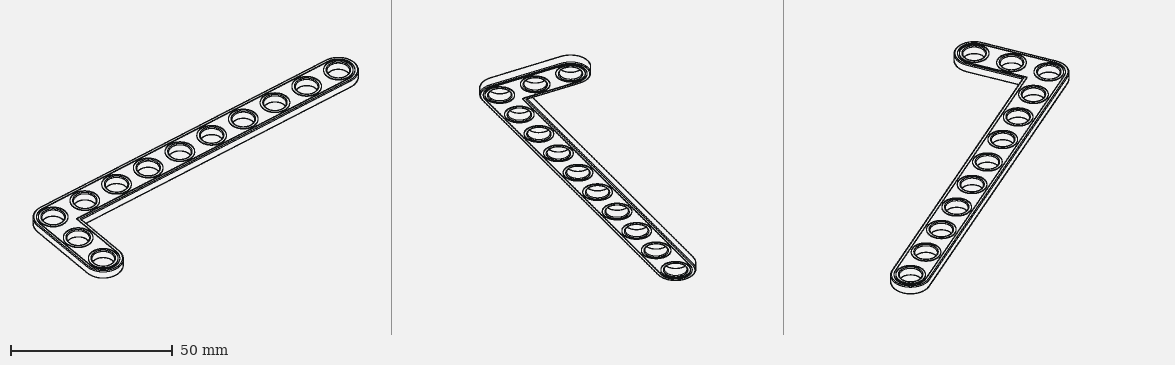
import cadquery as cq

pitch = 12.5
long_arm_holes = 10
short_arm_holes = 3
thickness = 3.1
hole_diameter = 7.0
rim_width = 1.1
recess_depth = 0.2
edge_chamfer = 0.3

arm_radius = pitch / 2
collar_diameter = hole_diameter + 2 * rim_width
long_arm_reach = pitch * (long_arm_holes - 1)
short_arm_reach = pitch * (short_arm_holes - 1)

hole_centers = [(0, row * pitch) for row in range(long_arm_holes)]
hole_centers += [(column * pitch, 0) for column in range(1, short_arm_holes)]


def l_slab(inset, height):
    """L-shaped slab with rounded ends, its outline moved inwards by inset."""
    radius = arm_radius - inset
    return (
        cq.Workplane("XY")
        .moveTo(-radius, 0)
        .radiusArc((0, -radius), -radius)
        .lineTo(short_arm_reach, -radius)
        .threePointArc((short_arm_reach + radius, 0), (short_arm_reach, radius))
        .lineTo(radius, radius)
        .lineTo(radius, long_arm_reach)
        .threePointArc((0, long_arm_reach + radius), (-radius, long_arm_reach))
        .close()
        .extrude(height)
    )


def discs_at_holes(diameter, height):
    """One upright disc at every hole centre."""
    return cq.Workplane("XY").pushPoints(hole_centers).circle(diameter / 2).extrude(height)


def drilled_plate():
    """Full-thickness plate with its holes, all face edges lightly chamfered."""
    plate = l_slab(0, thickness).cut(discs_at_holes(hole_diameter, thickness))
    return plate.faces("<Z or >Z").edges().chamfer(edge_chamfer)


def face_recess():
    """Shallow pocket inside the rim that leaves the hole collars standing."""
    return l_slab(rim_width, recess_depth).cut(discs_at_holes(collar_diameter, recess_depth))


bottom_recess = face_recess()
top_recess = bottom_recess.translate((0, 0, thickness - recess_depth))
result = drilled_plate().cut(bottom_recess).cut(top_recess)